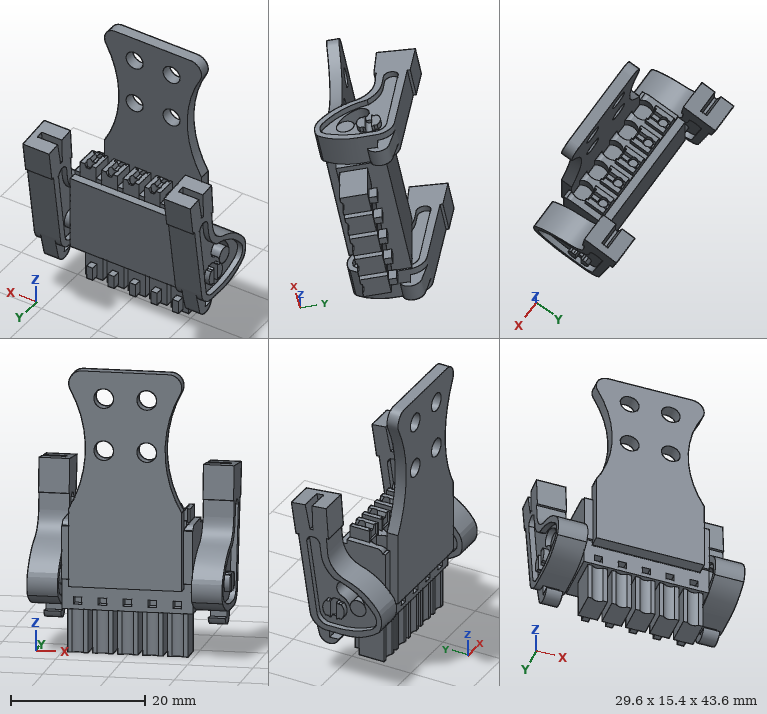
import cadquery as cq
import math

overall_width = 29.65
overall_height = 43.6

pole_count = 5
pole_pitch = 3.8
pole_positions = [(i - (pole_count - 1) / 2) * pole_pitch for i in range(pole_count)]

housing_width = 19.9
housing_bottom = 6.7
housing_top = 20.15
shoulder_z = 19.45
housing_rear = 7.4
rear_step_y = 6.1
front_round = 0.85
front_round_mid = (0.3, 19.9)
lip_front = -0.5
lip_bottom = 11.3
base_front = -0.17

entry_radius_x = 1.45
entry_radius_y = 1.75
entry_y = 1.3
entry_depth = 3.5
window_width = 1.25
window_height = 1.1
window_z = 8.02
window_depth = 1.3

finger_width = 3.1
finger_front = 0.2
finger_rear = 4.45
groove_half_width = 0.87
groove_depth = 0.35
catch_width = 1.1
catch_rear = 5.65
catch_bottom = 0.4
catch_top = 2.65

button_width = 2.8
button_front = 2.75
button_bottom = housing_top - entry_depth
button_top = 22.1
channel_top_width = 1.2
channel_floor_width = 0.6
channel_depth = 0.65
tool_hole_radius = 0.75
tool_hole_y = 5.05
tool_hole_depth = 1.75
front_pocket_width = 2.0
front_pocket_depth = 0.35
front_pocket_floor = 20.27

plate_thickness = 1.87
plate_half_width = 8.6
plate_bottom = 10.5
waist_half_width = 6.05
waist_z = 31.52
flare_bottom = 22.5
flare_end = (8.33, 40.65)
plate_corner_radius = 1.95
plate_hole_radius = 1.5
plate_hole_x = 3.25
plate_hole_rows = (waist_z, 39.5)

lever_width = 4.65
recess_depth = 0.9
hook_width = 2.57
marker_slot_length = 3.58
lever_floor_x = overall_width / 2 - recess_depth

pivot_y = 5.7
pivot_z = 10.6
pivot_radius = 1.53
head_radius = 1.85
head_half_height = 1.25
head_length = 0.87
split_width = 1.0
cam_radius = 1.35
cam_orbit = 3.8
cam_closed_angle = 167.0
cam_open_angle = 112.0


def box(x_range, y_range, z_range):
    """Box between the given limits on each axis."""
    size = [high - low for low, high in (x_range, y_range, z_range)]
    corner = (x_range[0], y_range[0], z_range[0])
    return cq.Workplane("XY").box(*size, centered=False).translate(corner)


def around(center, width):
    """Limits of a stretch of the given width about its center."""
    return (center - width / 2, center + width / 2)


def side_plane(x):
    """Work plane across X, with local axes Y and Z."""
    return cq.Workplane("YZ", origin=(x, 0, 0))


def cam_point(radius, angle):
    """Point (Y, Z) on a circle about the lever pivot."""
    turn = math.radians(angle)
    return (pivot_y + radius * math.cos(turn), pivot_z + radius * math.sin(turn))


def housing_block():
    """Side profile of the housing, extruded over its width."""
    return (
        side_plane(-housing_width / 2)
        .moveTo(base_front, housing_bottom)
        .lineTo(housing_rear, housing_bottom)
        .lineTo(housing_rear, shoulder_z)
        .lineTo(rear_step_y, shoulder_z)
        .lineTo(rear_step_y, housing_top)
        .lineTo(front_round, housing_top)
        .threePointArc(front_round_mid, (0, shoulder_z))
        .lineTo(lip_front, shoulder_z)
        .lineTo(lip_front, lip_bottom)
        .lineTo(base_front, lip_bottom)
        .close()
        .extrude(housing_width)
    )


def finger(x):
    """Plug finger with a shallow round groove in front and a catch behind."""
    body = box(around(x, finger_width), (finger_front, finger_rear), (0, housing_bottom))
    catch = box(around(x, catch_width), (finger_rear, catch_rear), (catch_bottom, catch_top))
    groove_radius = (groove_half_width**2 + groove_depth**2) / (2 * groove_depth)
    groove = (
        cq.Workplane("XY")
        .center(x, finger_front + groove_depth - groove_radius)
        .circle(groove_radius)
        .extrude(housing_bottom)
    )
    return body.union(catch).cut(groove)


def wire_entry(x):
    """Oval wire entry, flat where it meets the button seat."""
    bottom = housing_top - entry_depth
    oval = (
        cq.Workplane("XY", origin=(x, entry_y, bottom))
        .ellipse(entry_radius_x, entry_radius_y)
        .extrude(entry_depth)
    )
    in_front_of_button = box(
        around(x, 2 * entry_radius_x),
        (entry_y - entry_radius_y, button_front),
        (bottom, housing_top),
    )
    return oval.intersect(in_front_of_button)


def button_seat(x):
    """Slot in the housing top, as deep as the wire entry, that holds one button."""
    return box(around(x, button_width), (button_front, rear_step_y), (button_bottom, housing_top))


def window(x):
    """Square test window in the lower front face."""
    return box(
        around(x, window_width),
        (base_front, base_front + window_depth),
        around(window_z, window_height),
    )


def pivot_pin():
    """Split snap pin on the -X side that passes through the lever."""
    tip_x = -(lever_floor_x + head_length)
    shaft = (
        side_plane(tip_x)
        .center(pivot_y, pivot_z)
        .circle(pivot_radius)
        .extrude(-housing_width / 2 - tip_x)
    )
    head = side_plane(tip_x).center(pivot_y, pivot_z).circle(head_radius).extrude(head_length)
    head_flats = box(
        (tip_x, -lever_floor_x),
        around(pivot_y, 2 * head_radius),
        around(pivot_z, 2 * head_half_height),
    )
    pin = shaft.union(head.intersect(head_flats))

    split_height = (pivot_z - head_radius, pivot_z + head_radius)
    split = box((tip_x, -lever_floor_x), around(pivot_y, split_width), split_height)
    split_floor = (
        cq.Workplane("XY", origin=(-lever_floor_x, pivot_y, split_height[0]))
        .circle(split_width / 2)
        .extrude(2 * head_radius)
    )
    return pin.cut(split).cut(split_floor)


def cam_pin():
    """Plain pin on the -X side that ends level with the lever's recess floor."""
    return (
        side_plane(-lever_floor_x)
        .center(*cam_point(cam_orbit, cam_closed_angle))
        .circle(cam_radius)
        .extrude(lever_floor_x - housing_width / 2)
    )


def make_housing():
    body = housing_block()
    for x in pole_positions:
        body = body.union(finger(x)).cut(wire_entry(x)).cut(button_seat(x)).cut(window(x))
    plate_recess = box(
        (-plate_half_width, plate_half_width),
        (lip_front, 0),
        (plate_bottom, shoulder_z),
    )
    left_pins = pivot_pin().union(cam_pin())
    return body.cut(plate_recess).union(left_pins).union(left_pins.mirror("YZ"))


def make_button(x):
    body = box(around(x, button_width), (button_front, rear_step_y), (button_bottom, button_top))
    channel_floor = button_top - channel_depth
    channel = (
        cq.Workplane("XZ", origin=(x, rear_step_y, 0))
        .moveTo(-channel_top_width / 2, button_top)
        .lineTo(-channel_floor_width / 2, channel_floor)
        .lineTo(channel_floor_width / 2, channel_floor)
        .lineTo(channel_top_width / 2, button_top)
        .close()
        .extrude(rear_step_y - button_front)
    )
    tool_hole = (
        cq.Workplane("XY", origin=(x, tool_hole_y, button_top))
        .circle(tool_hole_radius)
        .extrude(-tool_hole_depth)
    )
    front_pocket = box(
        around(x, front_pocket_width),
        (button_front, button_front + front_pocket_depth),
        (front_pocket_floor, button_top),
    )
    return body.cut(channel).cut(tool_hole).cut(front_pocket)


def make_plate():
    """Waisted plate with rounded upper corners and four holes."""
    corner_x = plate_half_width - plate_corner_radius
    corner_z = overall_height - plate_corner_radius
    corner_mid_offset = plate_corner_radius * math.sqrt(0.5)
    corner_mid = (corner_x + corner_mid_offset, corner_z + corner_mid_offset)
    outline = (
        cq.Workplane("XZ")
        .moveTo(0, plate_bottom)
        .lineTo(plate_half_width, plate_bottom)
        .lineTo(plate_half_width, flare_bottom)
        .threePointArc((waist_half_width, waist_z), flare_end)
        .threePointArc(corner_mid, (corner_x, overall_height))
        .lineTo(0, overall_height)
        .mirrorY()
    )
    hole_centers = [(x, z) for x in (-plate_hole_x, plate_hole_x) for z in plate_hole_rows]
    holes = (
        cq.Workplane("XZ")
        .pushPoints(hole_centers)
        .circle(plate_hole_radius)
        .extrude(plate_thickness)
    )
    return outline.extrude(plate_thickness).cut(holes)


def lever_body(left_x):
    """Thick grip at the top, slim arm, and a rounded cam nose at the front."""
    return (
        side_plane(left_x)
        .moveTo(12.85, 27.4)
        .lineTo(6.95, 28.05)
        .lineTo(6.55, 22.75)
        .lineTo(6.9, 22.75)
        .lineTo(6.65, 20.1)
        .threePointArc((5.65, 17.85), (3.6, 16.5))
        .threePointArc((0.8, 15.17), (-2.0, 12.45))
        .lineTo(-2.3, 11.8)
        .threePointArc((-2.5, 10.4), (-2.05, 8.95))
        .threePointArc((0.65, 7.32), (3.95, 6.7))
        .lineTo(7.0, 6.7)
        .threePointArc((8.75, 7.4), (9.7, 9.05))
        .lineTo(11.65, 22.15)
        .lineTo(12.08, 22.15)
        .close()
        .extrude(lever_width)
    )


def lever_recess(left_x):
    """Shallow recess that follows the lever outline inside an even rim."""
    return (
        side_plane(left_x)
        .moveTo(10.25, 21.45)
        .threePointArc((9.1, 22.4), (8.0, 21.28))
        .lineTo(7.8, 19.9)
        .threePointArc((7.05, 17.7), (5.55, 16.15))
        .threePointArc((1.25, 14.3), (-1.2, 11.85))
        .threePointArc((-1.6, 10.4), (-0.75, 9.05))
        .threePointArc((1.55, 8.15), (3.95, 7.67))
        .lineTo(6.45, 7.65)
        .threePointArc((7.95, 8.15), (8.5, 9.25))
        .close()
        .extrude(recess_depth)
    )


def hook(left_x):
    """Latch hook below the heel, in the middle of the lever width."""
    return (
        side_plane(left_x + (lever_width - hook_width) / 2)
        .moveTo(9.7, 9.05)
        .lineTo(8.65, 4.93)
        .threePointArc((6.85, 3.8), (5.5, 4.65))
        .lineTo(5.35, 4.95)
        .lineTo(6.95, 4.9)
        .lineTo(6.95, 9.05)
        .close()
        .extrude(hook_width)
    )


def marker_slot(left_x):
    """Tapered slot in the top of the grip, open toward -X."""
    return (
        side_plane(left_x)
        .moveTo(10.5, overall_height)
        .lineTo(10.5, 27.75)
        .lineTo(9.7, 23.65)
        .lineTo(9.2, 23.65)
        .lineTo(9.35, 27.8)
        .lineTo(9.35, overall_height)
        .close()
        .extrude(marker_slot_length)
    )


def cam_slot(left_x):
    """Curved slot about the pivot in which the cam pin travels."""
    mid_angle = (cam_closed_angle + cam_open_angle) / 2
    inner = cam_orbit - cam_radius
    outer = cam_orbit + cam_radius
    slot = (
        side_plane(left_x)
        .moveTo(*cam_point(inner, cam_open_angle))
        .threePointArc(cam_point(inner, mid_angle), cam_point(inner, cam_closed_angle))
        .lineTo(*cam_point(outer, cam_closed_angle))
        .threePointArc(cam_point(outer, mid_angle), cam_point(outer, cam_open_angle))
        .close()
        .extrude(lever_width)
    )
    for angle in (cam_open_angle, cam_closed_angle):
        end = side_plane(left_x).center(*cam_point(cam_orbit, angle)).circle(cam_radius)
        slot = slot.union(end.extrude(lever_width))
    return slot


def make_lever(left_x):
    """Lever whose -X face lies at left_x, recessed alike on both faces."""
    pivot_hole = (
        side_plane(left_x)
        .center(pivot_y, pivot_z)
        .circle(pivot_radius)
        .extrude(lever_width)
    )
    body = lever_body(left_x).union(hook(left_x))
    for recess_x in (left_x, left_x + lever_width - recess_depth):
        body = body.cut(lever_recess(recess_x))
    return body.cut(marker_slot(left_x)).cut(pivot_hole).cut(cam_slot(left_x))


housing = make_housing()
plate = make_plate()
buttons = [make_button(x) for x in pole_positions]
levers = [make_lever(x) for x in (-overall_width / 2, overall_width / 2 - lever_width)]

result = cq.Compound.makeCompound([
    housing.solids().val(),
    plate.solids().val(),
    *[button.solids().val() for button in buttons],
    *[lever.solids().val() for lever in levers],
])